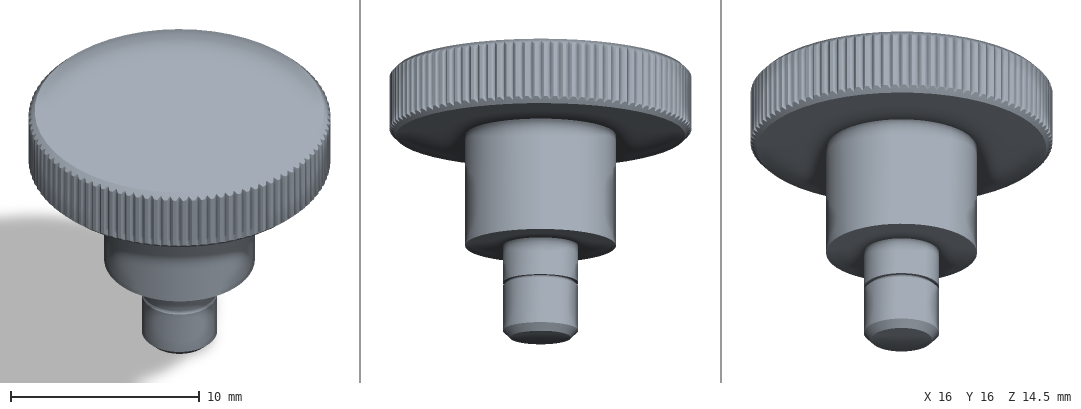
import cadquery as cq
import math

head_diameter = 16.0
total_height = 14.5
head_height = 3.5
head_chamfer = 0.32
boss_diameter = 8.0
boss_height = 6.0
pin_diameter = 4.0
pin_tip_chamfer = 0.38

undercut_offset = 2.0
undercut_depth = 0.2

groove_count = 100
groove_depth = 0.16
groove_angle = 90.0

head_radius = head_diameter / 2
boss_radius = boss_diameter / 2
pin_radius = pin_diameter / 2
head_bottom = total_height - head_height
boss_bottom = head_bottom - boss_height
undercut_top = boss_bottom - undercut_offset
undercut_bottom = undercut_top - undercut_depth


def knurled_prism():
    """Straight knurled cylinder: arc lands separated by V grooves."""
    root_radius = head_radius - groove_depth
    half_width = groove_depth * math.tan(math.radians(groove_angle / 2))
    half_groove = math.asin(half_width / head_radius)
    pitch = 2 * math.pi / groove_count

    def polar(radius, angle):
        return radius * math.cos(angle), radius * math.sin(angle)

    outline = cq.Workplane("XY").workplane(offset=head_bottom).moveTo(root_radius, 0)
    for index in range(groove_count):
        start = index * pitch
        end = start + pitch
        outline = outline.lineTo(*polar(head_radius, start + half_groove))
        outline = outline.threePointArc(
            polar(head_radius, start + pitch / 2),
            polar(head_radius, end - half_groove),
        )
        if index < groove_count - 1:
            outline = outline.lineTo(*polar(root_radius, end))
    return outline.close().extrude(head_height)


def head():
    """Knurled disc with both rims bevelled by a chamfered envelope."""
    envelope = (
        cq.Workplane("XY")
        .workplane(offset=head_bottom)
        .circle(head_radius)
        .extrude(head_height)
        .edges()
        .chamfer(head_chamfer)
    )
    return knurled_prism().intersect(envelope)


def stem():
    """Boss and undercut pin, revolved about the Z axis."""
    return (
        cq.Workplane("XZ")
        .moveTo(0, 0)
        .lineTo(pin_radius - pin_tip_chamfer, 0)
        .lineTo(pin_radius, pin_tip_chamfer)
        .lineTo(pin_radius, undercut_bottom)
        .lineTo(pin_radius - undercut_depth, undercut_top)
        .lineTo(pin_radius, undercut_top)
        .lineTo(pin_radius, boss_bottom)
        .lineTo(boss_radius, boss_bottom)
        .lineTo(boss_radius, head_bottom)
        .lineTo(0, head_bottom)
        .close()
        .revolve(360, (0, 0), (0, 1))
    )


result = head().union(stem())